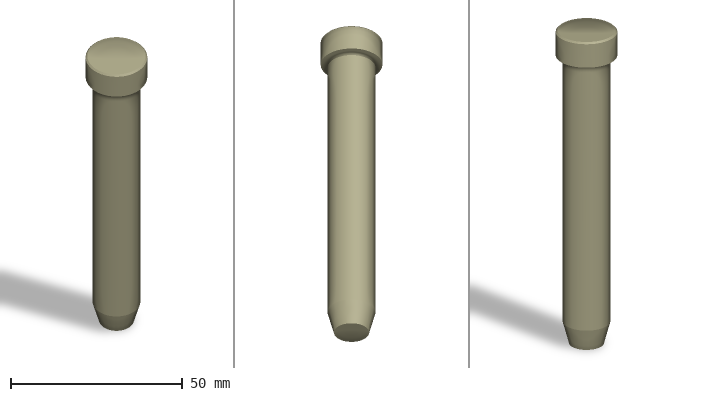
import cadquery as cq
import math

total_length = 100.0
head_diameter = 18.0
head_height = 8.0
head_edge_chamfer = 0.5
shank_diameter = 14.0

groove_diameter = 13.0
groove_width = 1.0
groove_fillet = 0.5

tip_length = 7.0
tip_angle = 15.0

head_radius = head_diameter / 2
shank_radius = shank_diameter / 2
groove_radius = groove_diameter / 2
tip_radius = shank_radius - tip_length * math.tan(math.radians(tip_angle))
head_bottom = total_length - head_height
groove_bottom = head_bottom - groove_width


def make_pin():
    """Revolve the half profile about the Z axis; the tip rests on Z = 0."""
    return (
        cq.Workplane("XZ")
        .moveTo(0, 0)
        .lineTo(tip_radius, 0)
        .lineTo(shank_radius, tip_length)
        .lineTo(shank_radius, groove_bottom)
        .lineTo(groove_radius, groove_bottom)
        .lineTo(groove_radius, head_bottom - groove_fillet)
        .radiusArc((groove_radius + groove_fillet, head_bottom), groove_fillet)
        .lineTo(head_radius, head_bottom)
        .lineTo(head_radius, total_length)
        .lineTo(0, total_length)
        .close()
        .revolve(360, (0, 0), (0, 1))
    )


result = make_pin()
result = result.faces(">Z").edges().chamfer(head_edge_chamfer)